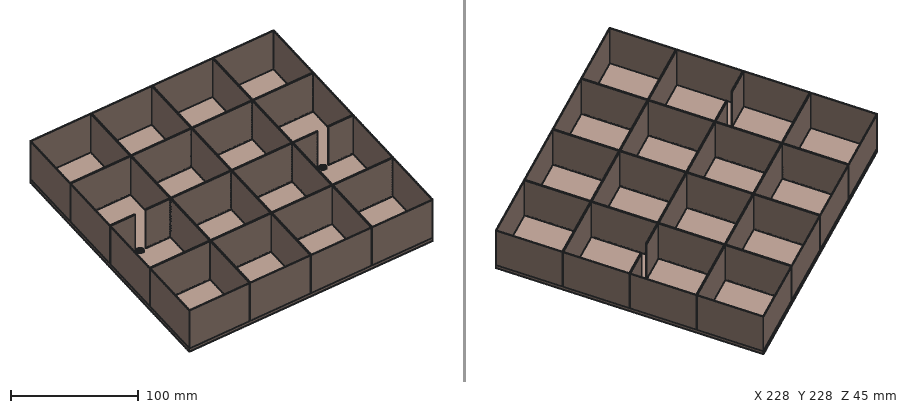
import cadquery as cq

side = 228.0
height = 45.0
floor_thickness = 3.0
wall_height = height - floor_thickness

cells_per_side = 4
pitch = side / cells_per_side
wall_thickness = 1.0

hole_diameter = 3.2
counterbore_diameter = 6.2
counterbore_depth = floor_thickness / 2
hole_offset = side / 2 - pitch / 2
wall_gap = 10.0


def block_on_floor(x_size, y_size, x, y):
    """Wall-height block standing on the floor, centred at (x, y)."""
    base = cq.Workplane("XY", origin=(x, y, floor_thickness))
    return base.box(x_size, y_size, wall_height, centered=(True, True, False))


result = cq.Workplane("XY").box(side, side, height, centered=(True, True, False))
pocket_size = pitch - wall_thickness
cell_centres = [(i - (cells_per_side - 1) / 2) * pitch for i in range(cells_per_side)]
for x in cell_centres:
    for y in cell_centres:
        result = result.cut(block_on_floor(pocket_size, pocket_size, x, y))

for y in (-hole_offset, hole_offset):
    result = result.cut(block_on_floor(wall_thickness, wall_gap, 0, y))
    hole_top = cq.Workplane("XY", origin=(0, y, floor_thickness))
    result = result.cut(hole_top.circle(hole_diameter / 2).extrude(-floor_thickness))
    result = result.cut(hole_top.circle(counterbore_diameter / 2).extrude(-counterbore_depth))